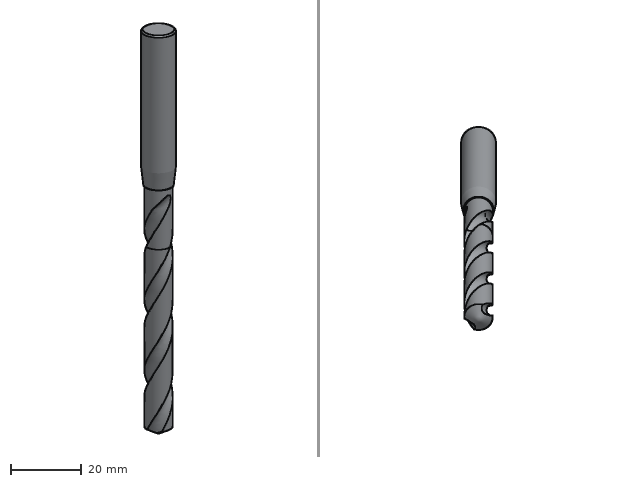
import cadquery as cq
import math

total_length = 125.0
shank_bottom = 82.6
collar_bottom = 77.0
flute_end = 70.8
joint_height = 58.6

shank_radius = 5.0
collar_end_radius = 4.4
drill_radius = 4.06
point_angle = 120.0
shank_chamfer = 0.5

flute_count = 2
flute_pitch = 43.5
flute_depth = 1.8
flute_radius = 2.1
flute_crossing = 53.9
flute_overrun = 5.0
joint_overrun = 1.2
runout_slant = 45.0
runout_tilt = 3.0
runout_length = 15.0

point_height = drill_radius / math.tan(math.radians(point_angle / 2))
flute_path_radius = drill_radius - flute_depth + flute_radius
helix_angle = math.atan(2 * math.pi * flute_path_radius / flute_pitch)
flute_half_width = flute_radius / math.cos(helix_angle)
flute_start = -flute_overrun


def flute_angle(height):
    """Angle in degrees of the first flute around Z at a given height."""
    return 360.0 * (height - flute_crossing) / flute_pitch


def flute_section(height):
    """Level section of the first flute: an ellipse, round when seen along the helix."""
    angle = flute_angle(height)
    section = cq.Workplane("XY").center(flute_path_radius, 0).ellipse(flute_radius, flute_half_width)
    return section.rotate((0, 0, 0), (0, 0, 1), angle).translate((0, 0, height)).val()


def make_helical_cutter(top):
    """Helical stretch of the first flute, from below the tip up to the given height."""
    rise = top - flute_start
    twist = 360.0 * rise / flute_pitch
    section = cq.Wire.assembleEdges(flute_section(flute_start).Edges())
    axis_foot = cq.Vector(0, 0, flute_start)
    return cq.Solid.extrudeLinearWithRotation(section, [], axis_foot, cq.Vector(0, 0, rise), twist)


def make_runout_cutter():
    """Straight stretch that leaves the helix end, slanted around Z and tilted outward."""
    angle = math.radians(flute_angle(flute_end))
    radial = cq.Vector(math.cos(angle), math.sin(angle), 0)
    around = cq.Vector(-math.sin(angle), math.cos(angle), 0)
    slant = math.radians(runout_slant)
    direction = around * math.sin(slant) + cq.Vector(0, 0, math.cos(slant))
    direction = direction + radial * math.tan(math.radians(runout_tilt))
    section = cq.Wire.assembleEdges(flute_section(flute_end).Edges())
    return cq.Solid.extrudeLinear(section, [], direction * runout_length)


def cut_flutes(body, cutters):
    """Cut all the flutes, evenly spaced around Z, with the cutters of the first one."""
    for index in range(flute_count):
        turn = index * 360.0 / flute_count
        for cutter in cutters:
            body = body.cut(cutter.rotate(cq.Vector(0, 0, 0), cq.Vector(0, 0, 1), turn))
    return body


def make_shank():
    """Chamfered shank, tapered collar and the fluted neck below it."""
    profile = (
        cq.Workplane("XZ")
        .moveTo(0, joint_height)
        .lineTo(drill_radius, joint_height)
        .lineTo(drill_radius, collar_bottom)
        .lineTo(collar_end_radius, collar_bottom)
        .lineTo(shank_radius, shank_bottom)
        .lineTo(shank_radius, total_length - shank_chamfer)
        .lineTo(shank_radius - shank_chamfer, total_length)
        .lineTo(0, total_length)
        .close()
    )
    return cut_flutes(profile.revolve(), [make_helical_cutter(flute_end), make_runout_cutter()])


def make_cutting_end():
    """Fluted cylinder with a conical point, below the joint."""
    profile = (
        cq.Workplane("YZ")
        .lineTo(drill_radius, point_height)
        .lineTo(drill_radius, joint_height)
        .lineTo(0, joint_height)
        .close()
    )
    return cut_flutes(profile.revolve(), [make_helical_cutter(joint_height + joint_overrun)])


shank = make_shank()
cutting_end = make_cutting_end()

result = cq.Compound.makeCompound([shank.solids().val(), cutting_end.solids().val()])